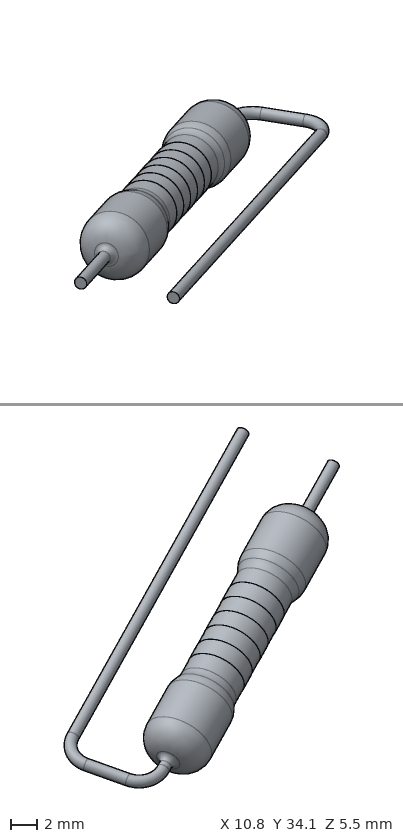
import cadquery as cq
import math

total_length = 34.1
lead_radius = 1.0 / 2
lead_pitch = 7.5
bend_radius = 2.0

cap_radius = 5.5 / 2
neck_radius = 4.67 / 2
band_radius = 4.7 / 2
body_middle = 18.1
neck_half_length = 5.2
shoulder_length = 1.65
cap_straight_length = 3.82
dome_radius = 1.95
meniscus_radius = 0.5
segment_count = 7

shoulder_end = neck_half_length + shoulder_length
cap_end = shoulder_end + cap_straight_length

dome_center_radius = cap_radius - dome_radius
meniscus_center_radius = lead_radius + meniscus_radius
center_offset = meniscus_center_radius - dome_center_radius
center_distance = dome_radius + meniscus_radius
center_rise = math.sqrt(center_distance**2 - center_offset**2)
meniscus_end = cap_end + center_rise


def point_on_dome(angle):
    """Point on the rounded cap end, with the angle measured from the radial direction."""
    return (
        dome_center_radius + dome_radius * math.cos(angle),
        cap_end + dome_radius * math.sin(angle),
    )


def point_on_meniscus(angle):
    """Point on the meniscus arc, with the angle measured from its center toward the body."""
    return (
        meniscus_center_radius - meniscus_radius * math.cos(angle),
        meniscus_end - meniscus_radius * math.sin(angle),
    )


def make_half_body():
    """Revolved half of the body, from its middle to the positive Y end."""
    contact_angle = math.atan2(center_rise, center_offset)
    shoulder_middle = (
        (neck_radius + cap_radius) / 2,
        neck_half_length + shoulder_length / 2,
    )
    return (
        cq.Workplane("XY")
        .lineTo(neck_radius, 0)
        .lineTo(neck_radius, neck_half_length)
        .tangentArcPoint(shoulder_middle, relative=False)
        .tangentArcPoint((cap_radius, shoulder_end), relative=False)
        .lineTo(cap_radius, cap_end)
        .threePointArc(point_on_dome(contact_angle / 2), point_on_dome(contact_angle))
        .threePointArc(point_on_meniscus(contact_angle / 2), (lead_radius, meniscus_end))
        .lineTo(0, meniscus_end)
        .close()
        .revolve(360, (0, 0, 0), (0, 1, 0))
    )


def make_body():
    """Complete body with slightly raised color bands on alternate neck segments."""
    upper_half = make_half_body()
    body = upper_half.union(upper_half.mirror("XZ"))
    segment_length = 2 * neck_half_length / segment_count
    for index in range(1, segment_count, 2):
        band_start = -neck_half_length + index * segment_length
        band = (
            cq.Workplane("XZ", origin=(0, band_start, 0))
            .circle(band_radius)
            .extrude(-segment_length)
        )
        body = body.union(band)
    return body.translate((0, body_middle, 0))


def make_short_lead():
    """Straight lead from its tip to the lower meniscus."""
    return cq.Workplane("XZ").circle(lead_radius).extrude(-(body_middle - meniscus_end))


def make_bent_lead():
    """Lead that leaves the upper meniscus and folds back alongside the body."""
    lead_start = body_middle + meniscus_end
    crest = total_length - lead_radius
    bend_start = crest - bend_radius
    path = (
        cq.Workplane("XY")
        .moveTo(0, lead_start)
        .lineTo(0, bend_start)
        .tangentArcPoint((bend_radius, crest), relative=False)
        .lineTo(lead_pitch - bend_radius, crest)
        .tangentArcPoint((lead_pitch, bend_start), relative=False)
        .lineTo(lead_pitch, 0)
    )
    section = cq.Workplane("XZ", origin=(0, lead_start, 0)).circle(lead_radius)
    return section.sweep(path)


result = make_body().union(make_short_lead()).union(make_bent_lead())